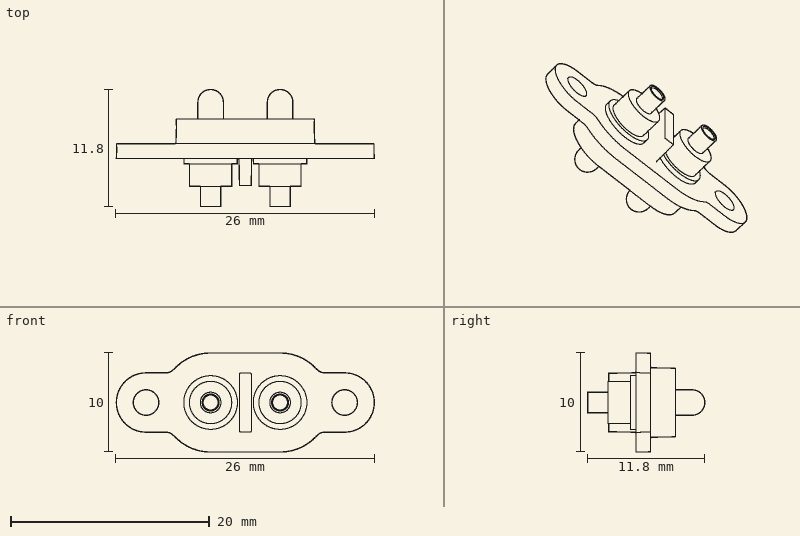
import cadquery as cq
import math

overall_length = 26.0

hole_spacing = 20.0
ear_radius = (overall_length - hole_spacing) / 2
ear_hole_diameter = 2.55
plate_thickness = 1.5
pin_spacing = 7.0
lobe_height = 10.0
lobe_radius = lobe_height / 2
neck_fillet_radius = 1.0

boss_height = 2.5
boss_base_radius = 3.5

draft_angle = 1.0
edge_radius = 0.1

rib_base_width = 1.3
rib_base_height = 6.0
rib_length = 2.73

plunger_diameter = 2.6
plunger_reach = 2.96
collar_diameter = 5.4
collar_length = 0.52
barrel_diameter = 4.26
barrel_end = 2.8
tail_diameter = 2.08
tail_end = 4.84
cup_diameter = 1.5
cup_chamfer = 0.1
cup_depth = 2.0
cup_cone_half_angle = 59.0

pick_margin = 0.003
neck_reach = 0.25

hole_x = hole_spacing / 2
pin_x = pin_spacing / 2


def rear_plane(y):
    """XZ sketch plane at the given Y whose normal points to +Y (its local X is -X)."""
    return cq.Workplane(cq.Plane(origin=(0, y, 0), xDir=(-1, 0, 0), normal=(0, 1, 0)))


def tapered_slot(y, center_spacing, end_radius, thickness):
    """Slot along X that starts at y and narrows toward +Y by the draft angle."""
    slot = rear_plane(y).slot2D(center_spacing + 2 * end_radius, 2 * end_radius)
    return slot.extrude(thickness, taper=draft_angle)


def edges_near(point, reach):
    """Selector for the edges whose center lies within reach of the point along every axis."""
    low = tuple(c - reach for c in point)
    high = tuple(c + reach for c in point)
    return cq.selectors.BoxSelector(low, high)


def make_plate():
    lobes = tapered_slot(0, pin_spacing, lobe_radius, plate_thickness)
    ears = tapered_slot(0, hole_spacing, ear_radius, plate_thickness)
    plate = lobes.union(ears)

    neck_x = pin_x + math.sqrt(lobe_radius**2 - ear_radius**2)
    for side in (-1, 1):
        for level in (-1, 1):
            neck = (side * neck_x, plate_thickness / 2, level * ear_radius)
            plate = plate.edges(edges_near(neck, neck_reach)).fillet(neck_fillet_radius)

    return plate.faces(">Y").edges().fillet(edge_radius)


def make_boss():
    boss = tapered_slot(plate_thickness, pin_spacing, boss_base_radius, boss_height)
    return boss.faces(">Y").edges().fillet(edge_radius)


def make_rib():
    rib = cq.Workplane("XZ").rect(rib_base_width, rib_base_height).extrude(rib_length, taper=draft_angle)
    return rib.edges("not(<Y or >Y)").fillet(edge_radius)


def at_both_sides(x, diameter, length):
    """Two cylinders along +Y from the front face, at -x and +x."""
    return rear_plane(0).pushPoints([(-x, 0), (x, 0)]).circle(diameter / 2).extrude(length)


def root_edges(body, y, half_width, half_height):
    """Edges of the body that lie in the plane at y and inside the given half sizes."""
    box = cq.selectors.BoxSelector(
        (-half_width, y - pick_margin, -half_height), (half_width, y + pick_margin, half_height), boundingbox=True
    )
    return body.edges(box)


def make_housing():
    housing = make_plate().union(make_boss()).union(make_rib())

    boss_half_width = pin_x + boss_base_radius + edge_radius
    boss_half_height = boss_base_radius + edge_radius
    housing = root_edges(housing, plate_thickness, boss_half_width, boss_half_height).fillet(edge_radius)
    housing = root_edges(housing, 0, rib_base_width, rib_base_height).fillet(edge_radius)

    ear_holes = at_both_sides(hole_x, ear_hole_diameter, plate_thickness)
    pin_bores = at_both_sides(pin_x, plunger_diameter, plate_thickness + boss_height)
    return housing.cut(ear_holes).cut(pin_bores)


def make_pin(x):
    """Turned pin: domed plunger at the rear, collar seated on the plate front, hollow solder tail."""
    plunger_radius = plunger_diameter / 2
    cup_radius = cup_diameter / 2
    tip_y = plate_thickness + boss_height + plunger_reach
    dome_y = tip_y - plunger_radius
    dome_mid = plunger_radius * math.sqrt(0.5)
    cup_floor_y = cup_depth - tail_end
    cup_point_y = cup_floor_y + cup_radius / math.tan(math.radians(cup_cone_half_angle))
    pin = (
        cq.Workplane("XY")
        .moveTo(0, cup_point_y)
        .lineTo(cup_radius, cup_floor_y)
        .lineTo(cup_radius, cup_chamfer - tail_end)
        .lineTo(cup_radius + cup_chamfer, -tail_end)
        .lineTo(tail_diameter / 2, -tail_end)
        .lineTo(tail_diameter / 2, -barrel_end)
        .lineTo(barrel_diameter / 2, -barrel_end)
        .lineTo(barrel_diameter / 2, -collar_length)
        .lineTo(collar_diameter / 2, -collar_length)
        .lineTo(collar_diameter / 2, 0)
        .lineTo(plunger_radius, 0)
        .lineTo(plunger_radius, dome_y)
        .threePointArc((dome_mid, dome_y + dome_mid), (0, tip_y))
        .close()
        .revolve(360, (0, 0, 0), (0, 1, 0))
    )
    return pin.translate((x, 0, 0))


housing = make_housing()
pins = [make_pin(x) for x in (-pin_x, pin_x)]

result = cq.Compound.makeCompound([housing.val(), *[pin.val() for pin in pins]])